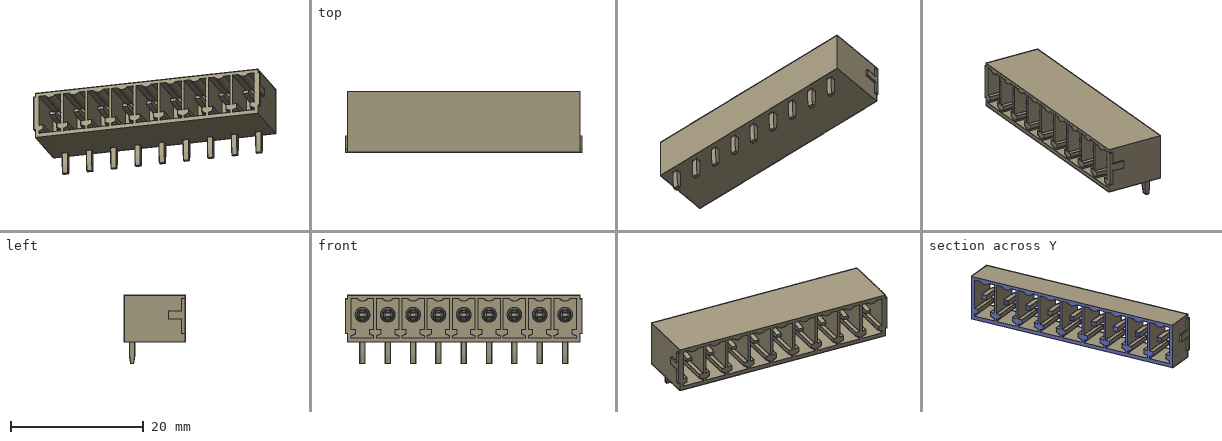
import cadquery as cq


contact_count = 9
pitch = 3.8

overall_width = 35.68
side_rail = 0.3
housing_width = overall_width - 2 * side_rail
housing_depth = 9.2
housing_height = 7.1

rail_top = housing_height - 0.55
rail_bottom = housing_height - 5.8
rail_band_depth = 0.55
tongue_top = housing_height - 2.43
tongue_bottom = housing_height - 3.57
tongue_length = 2.5

partition = 0.43
cavity_half_width = (pitch - partition) / 2
cavity_depth = 6.95
cavity_top = housing_height - 0.55
cavity_floor = 0.65
bump_half_width = 0.8
bump_drop = 0.35
rib_reach = 0.65
rib_top = housing_height - 5.17
rib_edge_bottom = housing_height - 5.85
rib_root_bottom = housing_height - 6.15

collar_base_radius = 1.1
collar_shoulder_radius = 0.85
collar_end_radius = 0.68
collar_shoulder_height = 0.7
collar_height = 0.9

pin_thickness = 0.82
pin_axis_height = housing_height - 2.95
pin_tip_inset = 1.25
pin_back_inset = 0.8
leg_length = 3.2
tip_taper_length = 1.15
tip_taper = 0.18

contact_places = [(i - (contact_count - 1) / 2) * pitch for i in range(contact_count)]


def side_rail_plate(start_x):
    """Rail with its tongue, one rail thickness wide from start_x."""
    return (
        cq.Workplane("YZ", origin=(start_x, 0, 0))
        .polyline([
            (0, rail_bottom),
            (rail_band_depth, rail_bottom),
            (rail_band_depth, tongue_bottom),
            (tongue_length, tongue_bottom),
            (tongue_length, tongue_top),
            (rail_band_depth, tongue_top),
            (rail_band_depth, rail_top),
            (0, rail_top),
        ])
        .close()
        .extrude(side_rail)
    )


def cavity(x):
    """Space that opens at the front, with a key bump above and a rib on each wall."""
    wall = cavity_half_width
    rib_edge = wall - rib_reach
    return (
        cq.Workplane("XZ", origin=(x, 0, 0))
        .moveTo(-wall, cavity_floor)
        .lineTo(wall, cavity_floor)
        .lineTo(wall, rib_root_bottom)
        .lineTo(rib_edge, rib_edge_bottom)
        .lineTo(rib_edge, rib_top)
        .lineTo(wall, rib_top)
        .lineTo(wall, cavity_top)
        .lineTo(bump_half_width, cavity_top)
        .threePointArc((0, cavity_top - bump_drop), (-bump_half_width, cavity_top))
        .lineTo(-wall, cavity_top)
        .lineTo(-wall, rib_top)
        .lineTo(-rib_edge, rib_top)
        .lineTo(-rib_edge, rib_edge_bottom)
        .lineTo(-wall, rib_root_bottom)
        .close()
        .extrude(-cavity_depth)
    )


def collar(x):
    """Boss on the back wall of a cavity: two cone frustums turned about the pin axis."""
    return (
        cq.Workplane("XY", origin=(x, cavity_depth, pin_axis_height))
        .polyline([
            (0, 0),
            (collar_base_radius, 0),
            (collar_shoulder_radius, -collar_shoulder_height),
            (collar_end_radius, -collar_height),
            (0, -collar_height),
        ])
        .close()
        .revolve(360, (0, 0), (0, 1))
    )


def make_pin(x):
    """Right-angle square pin, tapered at the mating tip and at the end of the leg."""
    half = pin_thickness / 2
    back = housing_depth - pin_back_inset
    leg_front = back - pin_thickness
    top = pin_axis_height + half
    underside = pin_axis_height - half
    taper_start = pin_tip_inset + tip_taper_length
    leg_taper_start = tip_taper_length - leg_length
    return (
        cq.Workplane("YZ", origin=(x - half, 0, 0))
        .polyline([
            (pin_tip_inset, top - tip_taper),
            (taper_start, top),
            (back, top),
            (back, leg_taper_start),
            (back - tip_taper, -leg_length),
            (leg_front + tip_taper, -leg_length),
            (leg_front, leg_taper_start),
            (leg_front, underside),
            (taper_start, underside),
            (pin_tip_inset, underside + tip_taper),
        ])
        .close()
        .extrude(pin_thickness)
    )


def make_housing(pins):
    """Block with side rails and cavities, and a matching passage for every pin."""
    body = cq.Workplane("XY").box(
        housing_width, housing_depth, housing_height, centered=(True, False, False)
    )
    body = body.union(side_rail_plate(-overall_width / 2))
    body = body.union(side_rail_plate(housing_width / 2))
    for x in contact_places:
        body = body.cut(cavity(x)).union(collar(x))
    for pin in pins:
        body = body.cut(pin)
    return body


pins = [make_pin(x) for x in contact_places]
housing = make_housing(pins)

result = cq.Compound.makeCompound([housing.val(), *[pin.val() for pin in pins]])